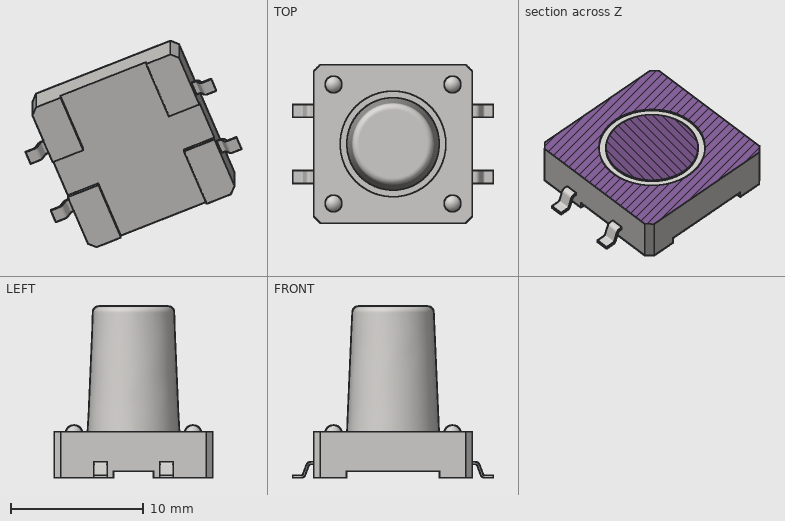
import cadquery as cq
import math

overall_length = 15.2
overall_height = 13.0

housing_size = 12.0
housing_height = 3.5
corner_chamfer = 0.5
channel_depth = 0.5
channel_width_x = 7.0
channel_width_y = 3.0

recess_radius = 4.0
recess_depth = 0.2

plunger_base_radius = 3.5
plunger_top_radius = 3.075
plunger_edge_radius = 0.5

rivet_offset = 4.5
rivet_radius = 0.635
rivet_height = 0.5

lead_offset = 2.5
lead_width = 1.0
lead_thickness = 0.2
lead_shoulder_height = 1.22
lead_inner_bend = 0.15
lead_angle = 70.0
lead_shoulder_length = 0.23

recess_floor = housing_height - recess_depth
housing_half = housing_size / 2


def make_housing():
    """Square block with a round top recess and crossed channels that leave four feet."""
    block = (
        cq.Workplane("XY")
        .box(housing_size, housing_size, housing_height, centered=(True, True, False))
        .edges("|Z")
        .chamfer(corner_chamfer)
    )
    channel_along_y = cq.Workplane("XY").box(
        channel_width_x, housing_size, channel_depth, centered=(True, True, False)
    )
    channel_along_x = cq.Workplane("XY").box(
        housing_size, channel_width_y, channel_depth, centered=(True, True, False)
    )
    recess = cq.Workplane("XY").workplane(offset=recess_floor).circle(recess_radius).extrude(recess_depth)
    return block.cut(channel_along_y).cut(channel_along_x).cut(recess)


def make_plunger():
    """Tapered round button that stands on the recess floor, with a rounded top edge."""
    cone = cq.Solid.makeCone(
        plunger_base_radius,
        plunger_top_radius,
        overall_height - recess_floor,
        pnt=cq.Vector(0, 0, recess_floor),
    )
    return cq.Workplane(cone).faces(">Z").edges().fillet(plunger_edge_radius)


def make_rivet(x, y):
    """Spherical cap standing on the housing top."""
    sphere_radius = (rivet_radius**2 + rivet_height**2) / (2 * rivet_height)
    half_angle = math.acos((sphere_radius - rivet_height) / sphere_radius) / 2
    mid_point = (
        sphere_radius * math.sin(half_angle),
        rivet_height - sphere_radius * (1 - math.cos(half_angle)),
    )
    return (
        cq.Workplane("XZ")
        .lineTo(rivet_radius, 0)
        .threePointArc(mid_point, (0, rivet_height))
        .close()
        .revolve(360, (0, 0, 0), (0, 1, 0))
        .translate((x, y, housing_height))
    )


def make_lead(side, y):
    """Gull-wing strip from the housing wall down to the mounting plane; side is +1 or -1 in X."""
    angle = math.radians(lead_angle)
    center_bend = lead_inner_bend + lead_thickness / 2
    center_drop = lead_shoulder_height - lead_thickness
    bend_run = center_bend * math.sin(angle)
    bend_drop = center_bend * (1 - math.cos(angle))
    slope_drop = center_drop - 2 * bend_drop
    slope_run = slope_drop / math.tan(angle)

    shoulder_z = lead_shoulder_height - lead_thickness / 2
    shoulder_x = housing_half + lead_shoulder_length
    slope_top = (shoulder_x + bend_run, shoulder_z - bend_drop)
    slope_bottom = (slope_top[0] + slope_run, slope_top[1] - slope_drop)
    foot_start = (slope_bottom[0] + bend_run, lead_thickness / 2)

    center_line = (
        cq.Workplane("XZ")
        .moveTo(housing_half, shoulder_z)
        .lineTo(shoulder_x, shoulder_z)
        .tangentArcPoint(slope_top, relative=False)
        .lineTo(*slope_bottom)
        .tangentArcPoint(foot_start, relative=False)
        .lineTo(overall_length / 2, lead_thickness / 2)
    )
    lead = (
        cq.Workplane("YZ", origin=(housing_half, 0, shoulder_z))
        .rect(lead_width, lead_thickness)
        .sweep(center_line)
    )
    if side < 0:
        lead = lead.mirror("YZ")
    return lead.translate((0, y, 0))


housing = make_housing()
plunger = make_plunger()

rivets = []
leads = []
for side_x in (-1, 1):
    for side_y in (-1, 1):
        rivets.append(make_rivet(side_x * rivet_offset, side_y * rivet_offset).val())
        leads.append(make_lead(side_x, side_y * lead_offset).val())

result = cq.Compound.makeCompound([housing.val(), plunger.val(), *rivets, *leads])